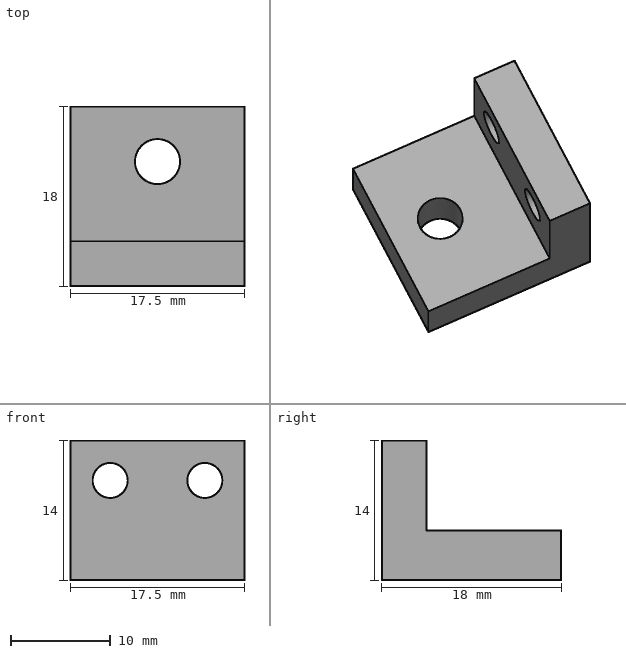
import cadquery as cq

width = 17.5
depth = 18.0
height = 14.0

base_thickness = 5.0
wall_thickness = 4.5

base_hole_diameter = 4.5
base_hole_from_back = 5.5

wall_hole_diameter = 3.5
wall_hole_spacing = 9.5
wall_hole_from_top = 4.0


def make_bracket():
    """Flat base with an upright wall along its front edge."""
    base = cq.Workplane("XY").box(width, depth, base_thickness, centered=(True, False, False))
    wall = cq.Workplane("XY").box(width, wall_thickness, height, centered=(True, False, False))
    return base.union(wall)


def make_base_hole():
    return (
        cq.Workplane("XY")
        .center(0, depth - base_hole_from_back)
        .circle(base_hole_diameter / 2)
        .extrude(base_thickness)
    )


def make_wall_holes():
    hole_height = height - wall_hole_from_top
    return (
        cq.Workplane("XZ")
        .pushPoints([(side * wall_hole_spacing / 2, hole_height) for side in (-1, 1)])
        .circle(wall_hole_diameter / 2)
        .extrude(-wall_thickness)
    )


result = make_bracket().cut(make_base_hole()).cut(make_wall_holes())